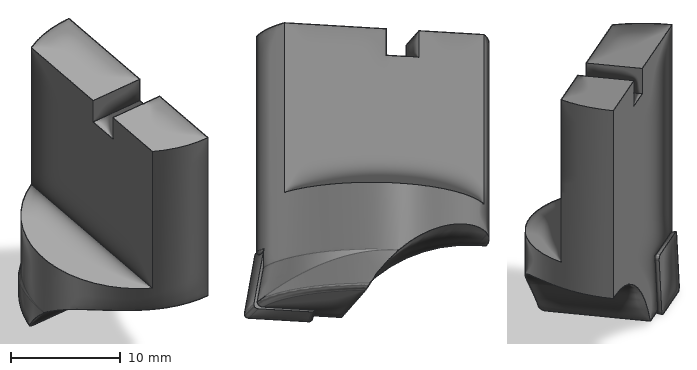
import cadquery as cq
import math


shank_radius = 10.72
top_z = 26.5
collar_z = 4.21
nose_bottom_z = 0.48
flare_angle = 10.0
nose_swell = 0.6
nose_edge_radius = 0.53

flat_y = -5.27
shelf_z = 10.52

slot_center_x = 1.72
slot_width = 3.05
slot_depth = 2.5

relief_radius = 14.35
relief_center_x = 9.85
relief_top_z = 8.03

insert_side = 6.39
insert_corner_angle = 80.0
insert_corner_radius = 0.4
insert_thickness = 2.38
insert_clearance_angle = 7.0
insert_face_y = 0.4
insert_corner_x = -11.85

margin = 2.65


def box_between(low, high):
    size = [b - a for a, b in zip(low, high)]
    return cq.Workplane("XY").box(*size, centered=False).translate(low)


def make_nose():
    """Flared cone trimmed by an elliptical prism with a rounded bottom edge."""
    height = collar_z - nose_bottom_z
    bottom_radius = shank_radius + height * math.tan(math.radians(flare_angle))
    cone = cq.Workplane(cq.Solid.makeCone(
        bottom_radius, shank_radius, height, pnt=cq.Vector(0, 0, nose_bottom_z)))
    prism = (
        cq.Workplane("XY", origin=(0, 0, nose_bottom_z))
        .ellipse(shank_radius + nose_swell, shank_radius)
        .extrude(height + margin)
        .faces("<Z").edges().fillet(nose_edge_radius)
    )
    return cone.intersect(prism)


def make_relief():
    """Quarter-round clearance below the +X side, running on straight past the arc top."""
    center_z = relief_top_z - relief_radius
    outer_x = shank_radius + margin
    diagonal = relief_radius * math.sqrt(0.5)
    return (
        cq.Workplane("XZ")
        .moveTo(relief_center_x, relief_top_z)
        .threePointArc((relief_center_x - diagonal, center_z + diagonal),
                       (relief_center_x - relief_radius, center_z))
        .lineTo(outer_x, center_z)
        .lineTo(outer_x, relief_top_z)
        .close()
        .extrude(outer_x)
    )


def make_insert_blank():
    """Tapered rhombic plate with sharp corners; also the shape of the seat."""
    angle = math.radians(insert_corner_angle)
    lean = insert_side * math.cos(angle)
    height = insert_side * math.sin(angle)
    left = insert_corner_x
    right = insert_corner_x + insert_side
    corners = [(left, 0), (right, 0), (right + lean, height), (left + lean, height)]
    return (
        cq.Workplane("XZ", origin=(0, insert_face_y, 0))
        .polyline(corners)
        .close()
        .extrude(insert_thickness, taper=insert_clearance_angle)
    )


def make_insert():
    return make_insert_blank().edges("not #Y").fillet(insert_corner_radius)


def make_holder():
    reach = shank_radius + margin
    shank = (
        cq.Workplane("XY", origin=(0, 0, collar_z))
        .circle(shank_radius)
        .extrude(top_z - collar_z)
    )
    back_half = box_between((-reach, 0, -margin), (reach, reach, top_z + margin))
    flat = box_between((-reach, -reach, shelf_z), (reach, flat_y, top_z + margin))
    slot_left = slot_center_x - slot_width / 2
    slot = box_between(
        (slot_left, -reach, top_z - slot_depth),
        (slot_left + slot_width, reach, top_z + margin),
    )
    return (
        shank.union(make_nose())
        .cut(back_half)
        .cut(flat)
        .cut(slot)
        .cut(make_relief())
        .cut(make_insert_blank())
    )


cutting_insert = make_insert()
holder = make_holder()

result = cq.Compound.makeCompound([*holder.solids().vals(), *cutting_insert.solids().vals()])